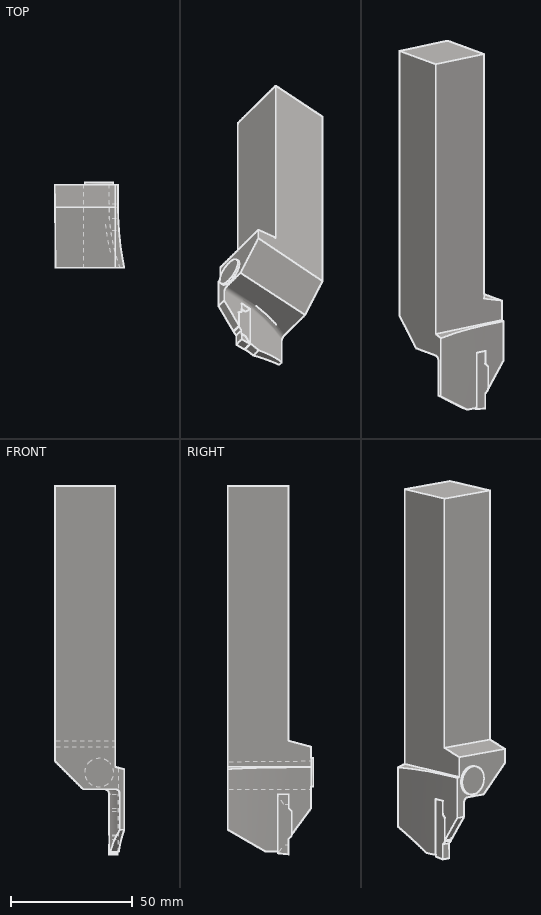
import cadquery as cq
import math

SHANK = 25.0
TOTAL_HEIGHT = 151.4
SIDE_TAPER = 0.3

HEAD_DEPTH = 34.2
FLARE_WIDTH = 28.6
REAR_WIDTH = 26.0
REAR_SHOULDER_Z = 46.8
SIDE_SHOULDER_Z = 36.0
SHOULDER_SLOPE = math.tan(math.radians(15))
FLOOR_Z = 26.8
BEVEL = 11.7

BLADE_X = 22.2
BLADE_FRONT_X = 26.8
ROOT_FILLET = 1.8
ROOT_MARGIN = 1.5
BLADE_BOTTOM_Z = 1.2
BLADE_BOTTOM_Y = 15.5
BLADE_FRONT_Z = 10.1
BLADE_REAR_Z = 18.9
JAW_TIP_Z = 6.4

INSERT_WIDTH = 3.6
INSERT_FRONT_Y = 20.5
INSERT_TOP_Z = 24.7
INSERT_HEEL_Z = 0.5
RIDGE_RISE = 1.4
RIDGE_LOW_Z = 6.4
RIDGE_HIGH_Z = 19.0
SIDE_RELIEF = 0.2
TIP_LENGTH = 4.0
TIP_HALF_DEPTH = 2.1

BOSS_DIAMETER = 11.8
BOSS_HEIGHT = 0.9
BOSS_X = 18.2
BOSS_Z = 33.8


def arc_middle(x_front, x_rear):
    """Point halfway along an arc from y = 0 that ends tangent to Y at the shank's rear plane."""
    rise = x_front - x_rear
    radius = (SHANK**2 + rise**2) / (2 * rise)
    half_angle = math.asin(SHANK / radius) / 2
    return (x_rear + radius * (1 - math.cos(half_angle)), SHANK - radius * math.sin(half_angle))


def make_head_plan(height):
    """Head cross-section with its curved outer side, extruded up from z = 0."""
    return (
        cq.Workplane("XY")
        .lineTo(FLARE_WIDTH, 0)
        .threePointArc(arc_middle(FLARE_WIDTH, REAR_WIDTH), (REAR_WIDTH, SHANK))
        .lineTo(REAR_WIDTH, HEAD_DEPTH)
        .lineTo(0, HEAD_DEPTH)
        .close()
        .extrude(height)
    )


def make_blade_clearance():
    """Space to the left of the blade and below the head, rounded at the blade's root."""
    space = (
        cq.Workplane("XY")
        .lineTo(BLADE_FRONT_X, 0)
        .threePointArc(arc_middle(BLADE_FRONT_X, BLADE_X), (BLADE_X, SHANK))
        .lineTo(BLADE_X, HEAD_DEPTH)
        .lineTo(0, HEAD_DEPTH)
        .close()
        .extrude(FLOOR_Z)
    )
    root_edges = space.faces(">Z").edges(cq.selectors.BoxSelector(
        (BLADE_X - ROOT_MARGIN, ROOT_MARGIN, FLOOR_Z - ROOT_MARGIN),
        (FLARE_WIDTH, HEAD_DEPTH - ROOT_MARGIN, FLOOR_Z + ROOT_MARGIN)))
    return root_edges.fillet(ROOT_FILLET)


def make_shank():
    """Square shank, starting where the head's bevel ends."""
    base_z = FLOOR_Z + BEVEL
    return (
        cq.Workplane("XY")
        .box(SHANK, SHANK, TOTAL_HEIGHT - base_z, centered=False)
        .translate((0, 0, base_z))
    )


def make_side_taper():
    """Thin wedge whose removal slants the left side of the shank and head."""
    return (
        cq.Workplane("XY")
        .polyline([(0, 0), (SIDE_TAPER, 0), (0, HEAD_DEPTH)])
        .close()
        .extrude(TOTAL_HEIGHT)
    )


def make_head():
    """Head and blade: the plan trimmed by the side and front profiles."""
    rear_edge_z = REAR_SHOULDER_Z - (HEAD_DEPTH - SHANK) * SHOULDER_SLOPE
    side_profile = (
        cq.Workplane("YZ")
        .polyline([
            (0, BLADE_FRONT_Z),
            (BLADE_BOTTOM_Y, BLADE_BOTTOM_Z),
            (SHANK, BLADE_BOTTOM_Z),
            (SHANK, JAW_TIP_Z),
            (HEAD_DEPTH, BLADE_REAR_Z),
            (HEAD_DEPTH, rear_edge_z),
            (SHANK, REAR_SHOULDER_Z),
            (0, REAR_SHOULDER_Z),
        ])
        .close()
        .extrude(FLARE_WIDTH)
    )
    side_edge_z = SIDE_SHOULDER_Z - (FLARE_WIDTH - SHANK) * SHOULDER_SLOPE
    front_profile = (
        cq.Workplane("XZ")
        .polyline([
            (BEVEL, 0),
            (FLARE_WIDTH, 0),
            (FLARE_WIDTH, side_edge_z),
            (SHANK, SIDE_SHOULDER_Z),
            (SHANK, REAR_SHOULDER_Z),
            (0, REAR_SHOULDER_Z),
            (0, FLOOR_Z + BEVEL),
            (BEVEL, FLOOR_Z),
        ])
        .close()
        .extrude(-HEAD_DEPTH)
    )
    head = make_head_plan(REAR_SHOULDER_Z).intersect(side_profile).intersect(front_profile)
    return head.cut(make_blade_clearance())


def make_boss():
    return (
        cq.Workplane("XZ", origin=(BOSS_X, HEAD_DEPTH, BOSS_Z))
        .circle(BOSS_DIAMETER / 2)
        .extrude(-BOSS_HEIGHT)
    )


def make_insert_block(width):
    """Insert outline, extruded outward from the inner face of the blade."""
    ridge_y = SHANK + RIDGE_RISE
    return (
        cq.Workplane("YZ", origin=(BLADE_X, 0, 0))
        .polyline([
            (INSERT_FRONT_Y, INSERT_HEEL_Z),
            (SHANK, 0),
            (SHANK, RIDGE_LOW_Z),
            (ridge_y, RIDGE_LOW_Z + RIDGE_RISE),
            (ridge_y, RIDGE_HIGH_Z - RIDGE_RISE),
            (SHANK, RIDGE_HIGH_Z),
            (SHANK, INSERT_TOP_Z),
            (INSERT_FRONT_Y, INSERT_TOP_Z),
        ])
        .close()
        .extrude(width)
    )


def make_side_relief():
    """Shallow recess on the insert's left side that leaves the two tips proud."""
    front_y = INSERT_FRONT_Y
    rear_y = SHANK + RIDGE_RISE
    shoulder_y = SHANK - TIP_HALF_DEPTH
    low_z = TIP_LENGTH
    high_z = INSERT_TOP_Z - TIP_LENGTH
    return (
        cq.Workplane("YZ", origin=(BLADE_X, 0, 0))
        .polyline([
            (front_y, INSERT_HEEL_Z),
            (shoulder_y, low_z),
            (rear_y, low_z),
            (rear_y, high_z),
            (shoulder_y, high_z),
            (front_y, INSERT_TOP_Z),
        ])
        .close()
        .extrude(SIDE_RELIEF)
    )


def make_insert():
    return make_insert_block(INSERT_WIDTH).cut(make_side_relief())


def make_insert_seat():
    """Seat for the insert, open through the outer side of the blade."""
    return make_insert_block(FLARE_WIDTH - BLADE_X)


holder = make_shank().union(make_head()).union(make_boss())
holder = holder.cut(make_side_taper()).cut(make_insert_seat())
insert = make_insert()

result = cq.Compound.makeCompound([holder.val(), insert.val()])